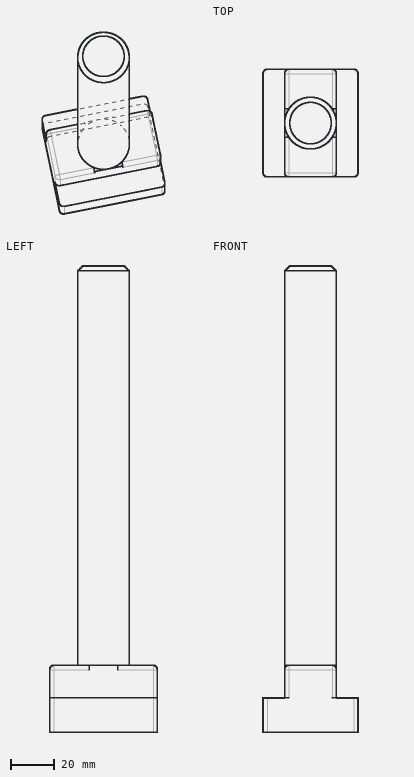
import cadquery as cq

total_height = 216.0
head_width = 44.0
head_length = 50.0
head_height = 16.0
shank_diameter = 24.0
neck_width = shank_diameter
neck_top = 31.0
edge_radius = 2.0
tip_chamfer = 2.4

shank_radius = shank_diameter / 2
fillet_inner_x = neck_width / 2 - edge_radius
fillet_end_y = (shank_radius**2 - fillet_inner_x**2) ** 0.5


def make_block(width, bottom, top):
    """Full-length block with rounded vertical corners."""
    return (
        cq.Workplane("XY")
        .workplane(offset=bottom)
        .rect(width, head_length)
        .extrude(top - bottom)
        .edges("|Z")
        .fillet(edge_radius)
    )


def make_neck():
    """Neck with a rounded top rim, left square-edged beside the shank."""
    square_neck = make_block(neck_width, head_height, neck_top)
    rounded_neck = square_neck.faces(">Z").edges().fillet(edge_radius)
    unrounded_middle = (
        cq.Workplane("XY")
        .workplane(offset=head_height)
        .rect(neck_width, 2 * fillet_end_y)
        .extrude(neck_top - head_height)
    )
    return rounded_neck.union(unrounded_middle)


def make_shank():
    """Round shank with a chamfered tip."""
    return (
        cq.Workplane("XY")
        .workplane(offset=head_height)
        .circle(shank_radius)
        .extrude(total_height - head_height)
        .faces(">Z")
        .chamfer(tip_chamfer)
    )


head = make_block(head_width, 0, head_height)
result = head.union(make_neck()).union(make_shank())